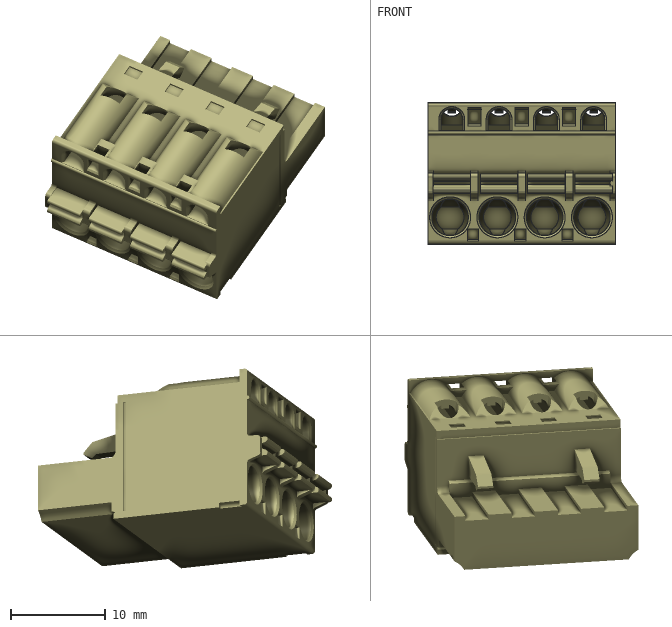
import cadquery as cq

EPS = 0.003

POLES = 4
PITCH = 5.0
DOME_SHIFT = 0.1
WIRE_SHIFT = -0.08
FOOT_SHIFT = -0.15

WIDTH = 19.9
HEIGHT = 15.0
ROOF_Z = 13.57
PLATE_T = 0.85
FRONT_ROUND = 0.34
BACK_Y = 14.95
BACK_LEDGE = (14.73, 12.67)
HEEL_Y, HEEL_Z = 15.2, 0.57
HEEL_GROOVE = (14.96, 0.72)

PLUG_ROOT_Y = 15.4
PLUG_END_Y = 23.74
PLUG_TOP_Z = 6.79
PLUG_BOTTOM_Z = 0.85
PLUG_STEP = 0.52
PLUG_SCOOP_R = 2.5
PLUG_SCOOP_OUT = 1.14
PLUG_SCOOP_Z = -0.39
ROOT_CURVE_Z = 7.48
ROOT_CURVE_MID = (15.1, 7.02)
WEB_TOP_Z = 8.05
WEB_DROP = 0.2

SLIT_Y, SLIT_W = 13.83, 0.25
SLIT_Z0, SLIT_Z1 = 0.72, 12.7
SLIT_DEPTH = 0.1
NOTCH_R = 0.5
NOTCH_LENGTH = 2.37

DOME_R = 2.45
DOME_TOP_Z = 14.9
DOME_AXIS_Z = DOME_TOP_Z - DOME_R
DOME_END_Y = 10.5
TUNNEL_R = 1.15
TUNNEL_AXIS_Z = 13.2
TUNNEL_FLOOR_Z = 12.05
TUNNEL_FLARE = 0.2
WELL_START_Y = 8.13
WELL_FLOOR_Z = 12.62
TAB_W = 0.83
TAB_LENGTH = 1.15
TAB_LIP = 0.39
TAB_LIP_H = 0.18
TAB_BOTTOM_Z = 13.9

BOX_W = 1.94
BOX_END_Y = 3.28
BOX_TOP_Z = 14.3
BOX_POCKET_W = 1.4
BOX_POCKET_END_Y = 2.37
BOX_POCKET_FLOOR_Z = 12.72
BOX_SILL = 0.18
BOX_MOUTH_TOP_Z = 14.47

BEAD_Z, BEAD_H, BEAD_OUT = 11.8, 0.39, 0.23
RIB_W = 0.8
END_RIB_W = 0.6
RIB_OUT = 1.47
RIB_TOP_Z = 7.53
RIB_NOSE_R = 0.39
RIB_ROOT_Z0, RIB_ROOT_Z1 = 4.62, 7.8
WIRE_Z = 2.86
WIRE_RIM_R = 2.17
WIRE_R = 1.94
WIRE_END_R = 1.47
WIRE_STRAIGHT = 2.12
FUNNEL_LENGTH = 1.14
FUNNEL_START = 1.88
FUNNEL_TOP_END = 1.08
FUNNEL_BOTTOM_END = 1.2
FOOT_POCKET_W = 1.19
FOOT_POCKET_DEPTH = 1.03
FOOT_POCKET_Z0, FOOT_POCKET_Z1 = 0.34, 1.65
FOOT_SILL = 0.18

LATCH_W = 1.65
LATCH_X = 5.75

LEVER_W = 3.95
LEVER_OUT = 2.06
LEVER_Z0, LEVER_Z1 = 5.4, 7.43
LOWER_PRONG_Z = 5.99
LEVER_ROUND = 0.2
LEVER_CHAMFER = 0.13
LEVER_TAIL = 1.3

CONTACT_PITCH = 4.93
CONTACT_W = 1.63
CONTACT_Y0, CONTACT_Y1 = 12.62, 13.85
CONTACT_RECESS = 0.2
CONTACT_TOP_Z = ROOF_Z - CONTACT_RECESS


def row(count, pitch, shift=0.0):
    """X positions of evenly spaced features centred on shift."""
    return [(i - (count - 1) / 2) * pitch + shift for i in range(count)]


def pole_xs(shift=0.0):
    return row(POLES, PITCH, shift)


def gap_xs(shift=0.0):
    return row(POLES - 1, PITCH, shift)


def contact_xs():
    return row(POLES, CONTACT_PITCH)


def box(x0, x1, y0, y1, z0, z1):
    return cq.Workplane("XY").box(x1 - x0, y1 - y0, z1 - z0, centered=False).translate((x0, y0, z0))


def bar(profile, x, width):
    """Extrude a closed YZ outline across X, centred on x."""
    return profile.close().extrude(width / 2, both=True).translate((x, 0, 0))


def outline():
    return cq.Workplane("YZ")


def y_rod(x, z, radius, y0, y1):
    return cq.Workplane("XZ", origin=(x, y0, z)).circle(radius).extrude(y0 - y1)


def y_cone(x, z, r0, r1, y0, y1):
    start = cq.Vector(x, y0, z)
    return cq.Workplane(cq.Solid.makeCone(r0, r1, y1 - y0, pnt=start, dir=cq.Vector(0, 1, 0)))


def housing_shell():
    plate_back = [(PLATE_T, HEIGHT), (PLATE_T, ROOF_Z)]
    profile = (
        outline()
        .polyline([(0, 0), (0, HEIGHT), *plate_back, (BACK_LEDGE[0], ROOF_Z), BACK_LEDGE])
        .lineTo(BACK_Y, BACK_LEDGE[1])
        .lineTo(BACK_Y, ROOT_CURVE_Z)
        .threePointArc(ROOT_CURVE_MID, (PLUG_ROOT_Y, PLUG_TOP_Z))
        .lineTo(PLUG_END_Y, PLUG_TOP_Z)
        .lineTo(PLUG_END_Y, PLUG_BOTTOM_Z)
        .lineTo(PLUG_ROOT_Y, PLUG_BOTTOM_Z)
        .lineTo(*HEEL_GROOVE)
        .lineTo(HEEL_Y, HEEL_Z)
        .lineTo(HEEL_Y, 0)
    )
    return bar(profile, 0, WIDTH).faces("<Y").edges("|X").fillet(FRONT_ROUND)


def plug_channels():
    """Lowered strips that alternate with the raised strips on the plug's top."""
    return [
        box(x - PITCH / 4, x + PITCH / 4, PLUG_ROOT_Y, PLUG_END_Y, PLUG_TOP_Z - PLUG_STEP, PLUG_TOP_Z)
        for x in pole_xs()
    ]


def plug_web():
    profile = outline().polyline([
        (BACK_Y - EPS, PLUG_TOP_Z - PLUG_STEP),
        (BACK_Y - EPS, WEB_TOP_Z),
        (PLUG_ROOT_Y, WEB_TOP_Z - WEB_DROP),
        (PLUG_ROOT_Y, PLUG_TOP_Z - PLUG_STEP),
    ])
    return bar(profile, 0, WIDTH - PITCH / 2)


def side_cuts():
    cuts = []
    for side in (-1, 1):
        x = side * WIDTH / 2
        scoop_x = side * (WIDTH / 2 + PLUG_SCOOP_OUT)
        slit = box(-SLIT_DEPTH, SLIT_DEPTH, SLIT_Y, SLIT_Y + SLIT_W, SLIT_Z0, SLIT_Z1)
        cuts.append(slit.translate((x, 0, 0)))
        cuts.append(y_rod(scoop_x, PLUG_SCOOP_Z, PLUG_SCOOP_R, PLUG_ROOT_Y, PLUG_END_Y))
        cuts.append(y_rod(x, 0, NOTCH_R, PLATE_T, PLATE_T + NOTCH_LENGTH))
    return cuts


def dome(x):
    """Cylinder cap above the roof with a 45 degree rear end."""
    rise = HEIGHT - ROOF_Z
    cap_limit = outline().polyline([
        (PLATE_T - EPS, ROOF_Z - EPS),
        (DOME_END_Y, ROOF_Z - EPS),
        (DOME_END_Y - rise, HEIGHT),
        (PLATE_T - EPS, HEIGHT),
    ])
    return y_rod(x, DOME_AXIS_Z, DOME_R, 0, DOME_END_Y).intersect(bar(cap_limit, x, 2 * DOME_R))


def arch(x, y, radius):
    """Outline of a flat-bottomed arch in a plane across Y."""
    return (
        cq.Workplane("XZ", origin=(x, y, 0))
        .moveTo(-radius, TUNNEL_FLOOR_Z)
        .lineTo(radius, TUNNEL_FLOOR_Z)
        .lineTo(radius, TUNNEL_AXIS_Z)
        .threePointArc((0, TUNNEL_AXIS_Z + radius), (-radius, TUNNEL_AXIS_Z))
        .close()
    )


def screwdriver_opening(x):
    """Flared arch tunnel that leads to an open, round-ended well, less the tab under its ceiling."""
    tunnel = arch(x, 0, TUNNEL_R).extrude(-WELL_START_Y)
    flare_inner = arch(x, TUNNEL_FLARE, TUNNEL_R).wires().val()
    flare_outer = arch(x, 0, TUNNEL_R + TUNNEL_FLARE).wires().val()
    flare = cq.Workplane(cq.Solid.makeLoft([flare_outer, flare_inner], True))
    round_y = DOME_END_Y - TUNNEL_R
    well = box(x - TUNNEL_R, x + TUNNEL_R, WELL_START_Y, round_y, WELL_FLOOR_Z, HEIGHT)
    well_end = cq.Workplane("XY", origin=(x, round_y, WELL_FLOOR_Z)).circle(TUNNEL_R)
    well = well.union(well_end.extrude(HEIGHT - WELL_FLOOR_Z))
    ceiling_z = TUNNEL_AXIS_Z + TUNNEL_R
    tab = outline().polyline([
        (WELL_START_Y, ceiling_z),
        (WELL_START_Y - TAB_LENGTH, ceiling_z),
        (WELL_START_Y - TAB_LIP, TAB_BOTTOM_Z + TAB_LIP_H),
        (WELL_START_Y - TAB_LIP, TAB_BOTTOM_Z),
        (WELL_START_Y, TAB_BOTTOM_Z),
    ])
    return tunnel.cut(bar(tab, x, TAB_W)).union(flare).union(well)


def divider_box(x):
    return box(x - BOX_W / 2, x + BOX_W / 2, PLATE_T - EPS, BOX_END_Y, ROOF_Z - EPS, BOX_TOP_Z)


def divider_pocket(x):
    """Pocket open at the top behind the plate and at the front through the plate."""
    through = outline().polyline([
        (0, BOX_POCKET_FLOOR_Z - BOX_SILL),
        (0, BOX_MOUTH_TOP_Z),
        (PLATE_T, BOX_TOP_Z),
        (PLATE_T, HEIGHT),
        (BOX_POCKET_END_Y, HEIGHT),
        (BOX_POCKET_END_Y, BOX_POCKET_FLOOR_Z),
        (BOX_SILL, BOX_POCKET_FLOOR_Z),
    ])
    return bar(through, x, BOX_POCKET_W)


def bead():
    profile = (
        outline()
        .moveTo(EPS, BEAD_Z - BEAD_H / 2)
        .lineTo(0, BEAD_Z - BEAD_H / 2)
        .threePointArc((-BEAD_OUT, BEAD_Z), (0, BEAD_Z + BEAD_H / 2))
        .lineTo(EPS, BEAD_Z + BEAD_H / 2)
    )
    return bar(profile, 0, WIDTH)


def rib(x, width):
    """Rounded guide rib beside the levers, with small fillets at its root."""
    profile = (
        outline()
        .moveTo(EPS, RIB_ROOT_Z0)
        .lineTo(EPS, RIB_ROOT_Z1)
        .lineTo(0, RIB_ROOT_Z1)
        .threePointArc((-0.08, 7.6), (-0.25, RIB_TOP_Z))
        .lineTo(RIB_NOSE_R - RIB_OUT, RIB_TOP_Z)
        .tangentArcPoint((-RIB_OUT, RIB_TOP_Z - RIB_NOSE_R), relative=False)
        .lineTo(-RIB_OUT, 5.6)
        .threePointArc((-1.45, 5.42), (-1.32, 5.31))
        .lineTo(-0.18, 4.9)
        .threePointArc((-0.05, 4.8), (0, RIB_ROOT_Z0))
    )
    return bar(profile, x, width)


def wire_entry(x):
    """Wire bore with a chamfered rim that ends in a cone flattened by a sloping ceiling and floor."""
    funnel_end_y = WIRE_STRAIGHT + FUNNEL_LENGTH
    bore = y_rod(x, WIRE_Z, WIRE_R, 0, WIRE_STRAIGHT)
    rim_depth = WIRE_RIM_R - WIRE_R
    rim = y_cone(x, WIRE_Z, WIRE_RIM_R, WIRE_R, 0, rim_depth)
    cone = y_cone(x, WIRE_Z, WIRE_R, WIRE_END_R, WIRE_STRAIGHT, funnel_end_y)
    wedge = outline().polyline([
        (WIRE_STRAIGHT, WIRE_Z + FUNNEL_START),
        (funnel_end_y, WIRE_Z + FUNNEL_TOP_END),
        (funnel_end_y, WIRE_Z - FUNNEL_BOTTOM_END),
        (WIRE_STRAIGHT, WIRE_Z - FUNNEL_START),
    ])
    funnel = cone.intersect(bar(wedge, x, 2 * WIRE_R))
    return bore.union(rim).union(funnel)


def foot_pocket(x):
    profile = outline().polyline([
        (0, FOOT_POCKET_Z0),
        (0, FOOT_POCKET_Z1),
        (FOOT_POCKET_DEPTH, FOOT_POCKET_Z1),
        (FOOT_POCKET_DEPTH, FOOT_POCKET_Z0 + FOOT_SILL),
        (FOOT_SILL, FOOT_POCKET_Z0 + FOOT_SILL),
    ])
    return bar(profile, x, FOOT_POCKET_W)


def latch(x):
    """Hooked arm that reaches rearward above the plug."""
    profile = outline().polyline([
        (BACK_Y - EPS, 10.63),
        (18.6, 9.83),
        (18.89, 9.78),
        (19.87, 8.72),
        (19.87, 8.5),
        (18.9, 8.0),
        (18.47, 8.4),
        (17.23, 8.44),
        (BACK_Y - EPS, 8.51),
    ])
    return bar(profile, x, LATCH_W)


def contact_window(x):
    return box(x - CONTACT_W / 2, x + CONTACT_W / 2, CONTACT_Y0, CONTACT_Y1, WIRE_Z, ROOF_Z)


def make_housing(levers):
    end_rib_x = (WIDTH - END_RIB_W) / 2
    added = [plug_web(), bead()]
    added += [dome(x) for x in pole_xs(DOME_SHIFT)]
    added += [divider_box(x) for x in gap_xs()]
    added += [rib(x, RIB_W) for x in gap_xs()]
    added += [rib(x, END_RIB_W) for x in (-end_rib_x, end_rib_x)]
    added += [latch(x) for x in (-LATCH_X, LATCH_X)]

    removed = side_cuts() + plug_channels() + levers
    removed += [screwdriver_opening(x) for x in pole_xs(DOME_SHIFT)]
    removed += [divider_pocket(x) for x in gap_xs()]
    removed += [wire_entry(x) for x in pole_xs(WIRE_SHIFT)]
    removed += [foot_pocket(x) for x in gap_xs(FOOT_SHIFT)]
    removed += [contact_window(x) for x in contact_xs()]

    housing = housing_shell()
    for feature in added:
        housing = housing.union(feature)
    for feature in removed:
        housing = housing.cut(feature)
    return housing


def make_lever(x):
    """Release lever with two prongs at its front end and its tail seated in the housing."""
    profile = (
        outline()
        .moveTo(LEVER_TAIL, LEVER_Z0)
        .lineTo(LEVER_TAIL, LEVER_Z1)
        .lineTo(LEVER_ROUND - LEVER_OUT, LEVER_Z1)
        .tangentArcPoint((-LEVER_OUT, LEVER_Z1 - LEVER_ROUND), relative=False)
        .lineTo(-LEVER_OUT, 7.05)
        .lineTo(-1.85, 6.84)
        .lineTo(-1.15, 6.65)
        .lineTo(-1.03, 6.35)
        .lineTo(LEVER_ROUND - LEVER_OUT, LOWER_PRONG_Z)
        .tangentArcPoint((-LEVER_OUT, LOWER_PRONG_Z - LEVER_ROUND), relative=False)
        .lineTo(-LEVER_OUT, LEVER_Z0 + LEVER_CHAMFER)
        .lineTo(LEVER_CHAMFER - LEVER_OUT, LEVER_Z0)
    )
    return bar(profile, x, LEVER_W)


def make_contact(x):
    """Upright contact block standing in its window below the roof."""
    return box(x - CONTACT_W / 2, x + CONTACT_W / 2, CONTACT_Y0, CONTACT_Y1, WIRE_Z, CONTACT_TOP_Z)


levers = [make_lever(x) for x in pole_xs(DOME_SHIFT)]
contacts = [make_contact(x) for x in contact_xs()]
housing = make_housing(levers)

result = cq.Compound.makeCompound([
    housing.val(),
    *[lever.val() for lever in levers],
    *[contact.val() for contact in contacts],
])